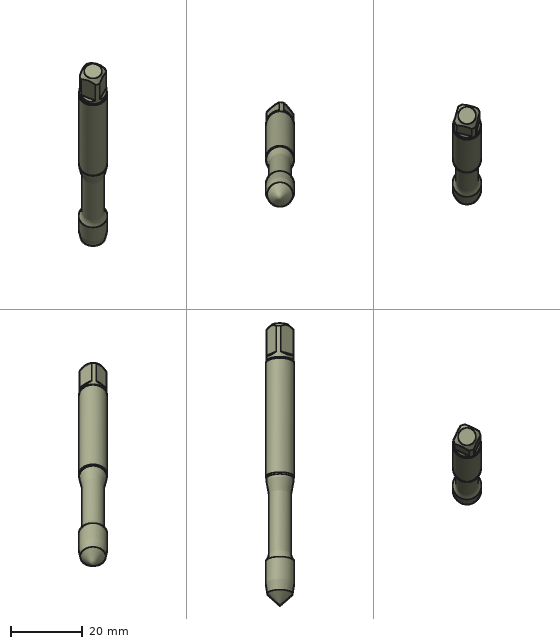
import cadquery as cq
import math

shank_diameter = 8.0
relief_diameter = 7.7
neck_diameter = 6.35
head_diameter = 8.1
tip_diameter = 7.2

length = 83.55
tip_height = tip_diameter / 2
head_taper_top = 6.7
head_top = 13.3
flare_top = 15.5
neck_top = 33.4
lower_relief_bottom = 37.2
lower_relief_top = 38.0
shank_bottom = 38.5
shank_top = 72.5
upper_relief_bottom = 73.0

square_width = 6.3
square_bottom = 74.6
end_chamfer = 1.3

flare_height = flare_top - head_top
flare_depth = (head_diameter - neck_diameter) / 2
flare_radius = (flare_height**2 + flare_depth**2) / (2 * flare_depth)
flare_angle = math.asin(flare_height / flare_radius)


def flare_point(angle):
    """Point on the flare arc, measured from its tangent point on the neck."""
    radius = neck_diameter / 2 + flare_radius * (1 - math.cos(angle))
    return radius, flare_top - flare_radius * math.sin(angle)


def revolve_about_z(profile):
    return profile.close().revolve(360, (0, 0, 0), (0, 1, 0))


def make_square_envelope():
    """Square drive whose four sides slope out at 45 degrees below it, clear of the shank below."""
    half_width = square_width / 2
    outer_half_width = head_diameter / 2
    slope_bottom = square_bottom - (outer_half_width - half_width)

    def side_outline(plane):
        return (
            cq.Workplane(plane)
            .moveTo(-half_width, length)
            .lineTo(half_width, length)
            .lineTo(half_width, square_bottom)
            .lineTo(outer_half_width, slope_bottom)
            .lineTo(outer_half_width, 0)
            .lineTo(-outer_half_width, 0)
            .lineTo(-outer_half_width, slope_bottom)
            .lineTo(-half_width, square_bottom)
            .close()
            .extrude(outer_half_width, both=True)
        )

    return side_outline("XZ").intersect(side_outline("YZ"))


def make_shank():
    """Shank with its neck, the flare onto the head and the square drive."""
    profile = (
        cq.Workplane("XZ")
        .moveTo(0, head_top)
        .lineTo(head_diameter / 2, head_top)
        .threePointArc(flare_point(flare_angle / 2), flare_point(0))
        .lineTo(neck_diameter / 2, neck_top)
        .lineTo(relief_diameter / 2, lower_relief_bottom)
        .lineTo(relief_diameter / 2, lower_relief_top)
        .lineTo(shank_diameter / 2, shank_bottom)
        .lineTo(shank_diameter / 2, shank_top)
        .lineTo(relief_diameter / 2, upper_relief_bottom)
        .lineTo(relief_diameter / 2, length - end_chamfer)
        .lineTo(relief_diameter / 2 - end_chamfer, length)
        .lineTo(0, length)
    )
    return revolve_about_z(profile).intersect(make_square_envelope())


def make_head():
    """Cylindrical head with a slight taper and a conical point."""
    profile = (
        cq.Workplane("XZ")
        .moveTo(0, 0)
        .lineTo(tip_diameter / 2, tip_height)
        .lineTo(head_diameter / 2, head_taper_top)
        .lineTo(head_diameter / 2, head_top)
        .lineTo(0, head_top)
    )
    return revolve_about_z(profile)


shank = make_shank()
head = make_head()

result = cq.Compound.makeCompound([shank.val(), head.val()])